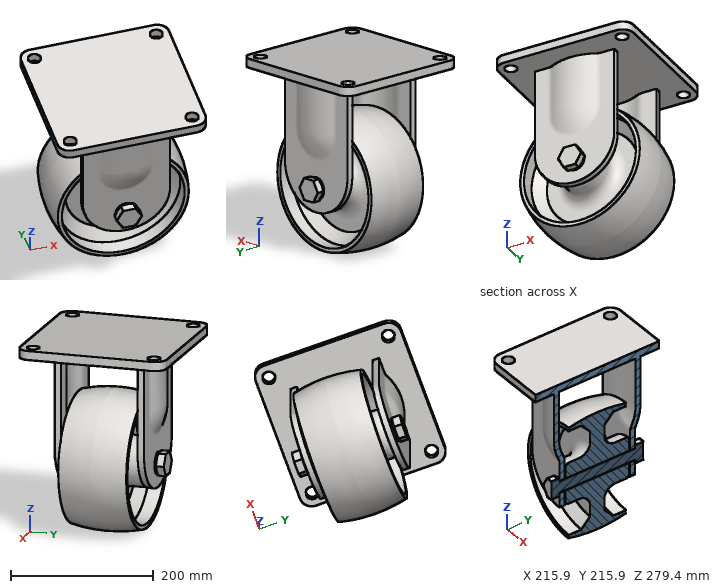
import cadquery as cq
import math


plate_size = 215.9
plate_thickness = 13.2
plate_top = 177.8
plate_bottom = plate_top - plate_thickness
plate_corner_radius = 17.5
bolt_hole_pitch = 177.8
bolt_hole_diameter = 18.0

leg_width = 127.0
leg_thickness = 9.5
leg_inner_face = 56.35
leg_outer_face = leg_inner_face + leg_thickness
leg_end_radius = leg_width / 2
leg_end_center = 28.2

bulge_height = 10.1
bulge_dome_radius = 76.2
bulge_blend_radius = 15.5
bulge_end_center = 82.55

wheel_radius = 101.6
wheel_half_width = 50.0
rim_edge_radius = 95.7
rim_bore_radius = 89.5
rim_bore_depth = 22.0
web_radius = 73.5
web_half_thickness = 12.7
hub_radius = 35.8
hub_blend_radius = 19.0
hub_half_length = 55.5
hub_end_rounding = 5.6

axle_diameter = 19.0
head_across_flats = 32.0
head_across_corners = head_across_flats / math.cos(math.pi / 6)
head_thickness = 12.0
collar_thickness = 2.5
collar_end = leg_outer_face + collar_thickness


def make_plate():
    plate = (
        cq.Workplane("XY")
        .workplane(offset=plate_bottom)
        .rect(plate_size, plate_size)
        .extrude(plate_thickness)
        .edges("|Z")
        .fillet(plate_corner_radius)
    )
    return (
        plate.faces(">Z")
        .workplane()
        .rect(bolt_hole_pitch, bolt_hole_pitch, forConstruction=True)
        .vertices()
        .hole(bolt_hole_diameter)
    )


def make_bulge(base_face, depth):
    """Bulge rising along +Y from base_face, its skin lying `depth` below the outer skin."""
    dome_radius = bulge_dome_radius - depth
    blend_radius = bulge_blend_radius + depth
    dome_center = base_face + bulge_height - dome_radius
    blend_center = base_face + blend_radius
    rise = blend_center - dome_center
    center_distance = dome_radius + blend_radius
    foot_x = math.sqrt(center_distance**2 - rise**2)

    dome_angle = math.atan2(foot_x, rise)
    edge_x = dome_radius * math.sin(dome_angle)
    edge_y = dome_center + dome_radius * math.cos(dome_angle)
    blend_x = foot_x - blend_radius * math.sin(dome_angle / 2)
    blend_y = blend_center - blend_radius * math.cos(dome_angle / 2)
    crest = (0, base_face + bulge_height)

    straight = (
        cq.Workplane("XY")
        .workplane(offset=bulge_end_center)
        .moveTo(-foot_x, base_face)
        .threePointArc((-blend_x, blend_y), (-edge_x, edge_y))
        .threePointArc(crest, (edge_x, edge_y))
        .threePointArc((blend_x, blend_y), (foot_x, base_face))
        .close()
        .extrude(plate_bottom - bulge_end_center)
    )
    mid_dome_x = dome_radius * math.sin(dome_angle / 2)
    mid_dome_y = dome_center + dome_radius * math.cos(dome_angle / 2)
    rounded_end = (
        cq.Workplane("XY")
        .workplane(offset=bulge_end_center)
        .moveTo(0, base_face)
        .lineTo(foot_x, base_face)
        .threePointArc((blend_x, blend_y), (edge_x, edge_y))
        .threePointArc((mid_dome_x, mid_dome_y), crest)
        .close()
        .revolve(180, (0, 0, 0), (0, 1, 0))
    )
    return straight.union(rounded_end)


def make_leg():
    """Leg on the +Y side, rounded at its lower end and pressed outward into a bulge."""
    half_width = leg_width / 2
    leg = (
        cq.Workplane("XZ", origin=(0, leg_outer_face, 0))
        .moveTo(-half_width, plate_bottom)
        .lineTo(-half_width, leg_end_center)
        .threePointArc((0, leg_end_center - leg_end_radius), (half_width, leg_end_center))
        .lineTo(half_width, plate_bottom)
        .close()
        .extrude(leg_thickness)
    )
    axle_hole = cq.Workplane("XZ").circle(axle_diameter / 2).extrude(-leg_outer_face)
    outer_bulge = make_bulge(leg_outer_face, 0)
    inner_recess = make_bulge(leg_inner_face, leg_thickness)
    return leg.union(outer_bulge).cut(inner_recess).cut(axle_hole)


def make_frame():
    leg = make_leg()
    return make_plate().union(leg).union(leg.mirror("XZ"))


def make_wheel():
    """Crowned wheel with a thin web and a hub blended into it."""
    tread_drop = wheel_radius - rim_edge_radius
    crown_radius = (wheel_half_width**2 + tread_drop**2) / (2 * tread_drop)
    half_crown_y = wheel_half_width / 2
    half_crown_x = wheel_radius - crown_radius + math.sqrt(crown_radius**2 - half_crown_y**2)
    blend_outer = hub_radius + hub_blend_radius
    half = (
        cq.Workplane("XY")
        .moveTo(axle_diameter / 2, 0)
        .lineTo(axle_diameter / 2, hub_half_length)
        .lineTo(hub_radius - hub_end_rounding, hub_half_length)
        .radiusArc((hub_radius, hub_half_length - hub_end_rounding), hub_end_rounding)
        .lineTo(hub_radius, web_half_thickness + hub_blend_radius)
        .radiusArc((blend_outer, web_half_thickness), -hub_blend_radius)
        .lineTo(web_radius, web_half_thickness)
        .lineTo(rim_bore_radius, wheel_half_width - rim_bore_depth)
        .lineTo(rim_bore_radius, wheel_half_width)
        .lineTo(rim_edge_radius, wheel_half_width)
        .threePointArc((half_crown_x, half_crown_y), (wheel_radius, 0))
        .close()
        .revolve(360, (0, 0, 0), (0, 1, 0))
    )
    return half.union(half.mirror("XZ"))


def make_axle_bolt():
    """Shaft with a round collar and a hexagonal head at each end."""
    collar_radius = head_across_flats / 2
    bolt = cq.Workplane("XZ").circle(axle_diameter / 2).extrude(leg_outer_face, both=True)
    for side in (-1, 1):
        collar = (
            cq.Workplane("XZ", origin=(0, side * leg_outer_face, 0))
            .circle(collar_radius)
            .extrude(-side * collar_thickness)
        )
        head = (
            cq.Workplane("XZ", origin=(0, side * collar_end, 0))
            .polygon(6, head_across_corners)
            .extrude(-side * head_thickness)
        )
        bolt = bolt.union(collar).union(head)
    return bolt


frame = make_frame()
wheel = make_wheel()
axle_bolt = make_axle_bolt()

result = cq.Compound.makeCompound([frame.val(), wheel.val(), axle_bolt.val()])